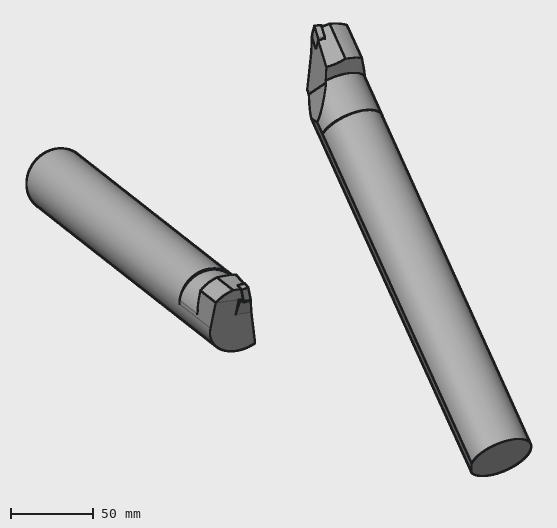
import cadquery as cq
import math


total_length = 300.0
head_length = 60.0
shank_radius = 20.0
side_flat_y = 18.93
head_start_x = total_length - head_length

head_side_y = -shank_radius
head_top_z = 26.0
tooth_radius = 27.6
relief_top_z = 19.1
relief_side_z = 2.6
relief_drop = relief_top_z - relief_side_z
relief_radius = (head_side_y**2 + relief_drop**2) / (2 * relief_drop)
relief_center_z = relief_top_z - relief_radius

shoulder_foot_x = 267.1
shoulder_slope = 0.66

runout_point = (251.9, 14.8, 13.0)
runout_normal = (1.0, 2.03, 0.75)
rake_normal = (0.117, 1.0, 0.232)

heel_x = 279.9
front_slope = 0.434
face_break_z = 18.9
upper_front_slope = 0.21
lip_foot_z = 8.0
lip_tip_x = 298.4
lip_tip_z = 18.0
lip_back_y = -5.0

tip = (total_length, 0.0, 26.97)
insert_side = 9.67
insert_angle = 80.0
insert_thickness = 4.4
insert_corner_radius = 1.6

block_size = 3 * total_length


def half_space(point, normal):
    """A large block that fills the side of a plane its normal points to."""
    plane = cq.Plane(origin=point, normal=normal)
    return cq.Workplane(plane).rect(block_size, block_size).extrude(block_size)


def head_cylinder(radius, center_z=0.0):
    """A cylinder along the whole length of the head."""
    start = cq.Workplane("YZ", origin=(head_start_x, 0, 0))
    return start.center(0, center_z).circle(radius).extrude(head_length)


def make_shank():
    return cq.Workplane("YZ").circle(shank_radius).extrude(head_start_x)


def front_x(z):
    """X of the lower front face at height z."""
    return heel_x + front_slope * (z + shank_radius)


def front_blank():
    """Side outline of the head with its slanted front end."""
    upper_x = front_x(face_break_z) + upper_front_slope * (head_top_z - face_break_z)
    outline = [
        (head_start_x, -shank_radius),
        (heel_x, -shank_radius),
        (front_x(face_break_z), face_break_z),
        (upper_x, head_top_z),
        (head_start_x, head_top_z),
    ]
    return cq.Workplane("XZ").polyline(outline).close().extrude(tooth_radius, both=True)


def seat_lip():
    """Wedge on the front face that carries the overhanging corner of the insert."""
    upper_x = front_x(face_break_z)
    outline = [
        (front_x(lip_foot_z), lip_foot_z),
        (lip_tip_x, lip_tip_z),
        (lip_tip_x, face_break_z),
        (upper_x, face_break_z),
    ]
    back = cq.Workplane("XZ", origin=(0, lip_back_y, 0))
    return back.polyline(outline).close().extrude(lip_back_y - side_flat_y)


def shoulder():
    """Everything in front of the conical shoulder."""
    end_x = total_length
    cone_apex_x = shoulder_foot_x - shoulder_slope * relief_top_z
    rim_x = cone_apex_x + shoulder_slope * tooth_radius
    profile = [(cone_apex_x, 0), (rim_x, tooth_radius), (end_x, tooth_radius), (end_x, 0)]
    return cq.Workplane("XY").polyline(profile).close().revolve(360, (0, 0, 0), (1, 0, 0))


def make_head():
    corner = cq.Workplane("XY").box(
        head_length, side_flat_y - head_side_y, head_top_z, centered=False
    ).translate((head_start_x, head_side_y, 0))
    head = head_cylinder(shank_radius).union(corner)
    head = head.intersect(front_blank().union(seat_lip()))
    neck = head_cylinder(relief_radius, relief_center_z)
    head = head.intersect(neck.union(shoulder()))
    gullet = half_space(runout_point, runout_normal).intersect(half_space(tip, rake_normal))
    return head.cut(gullet)


def make_insert():
    plane = cq.Plane(origin=tip, xDir=(1, -rake_normal[0], 0), normal=rake_normal)
    lean = insert_side * math.cos(math.radians(insert_angle))
    height = insert_side * math.sin(math.radians(insert_angle))
    corners = [(0, 0), (-insert_side, 0), (-insert_side - lean, height), (-lean, height)]
    body = cq.Workplane(plane).polyline(corners).close().extrude(-insert_thickness)
    seat_corners = body.edges(cq.selectors.ParallelDirSelector(plane.zDir)).edges("not >X")
    return seat_corners.fillet(insert_corner_radius)


insert = make_insert()

holder = make_shank().union(make_head())
holder = holder.cut(half_space((0, side_flat_y, 0), (0, 1, 0)))
holder = holder.cut(insert)

result = cq.Compound.makeCompound([holder.val(), insert.val()])